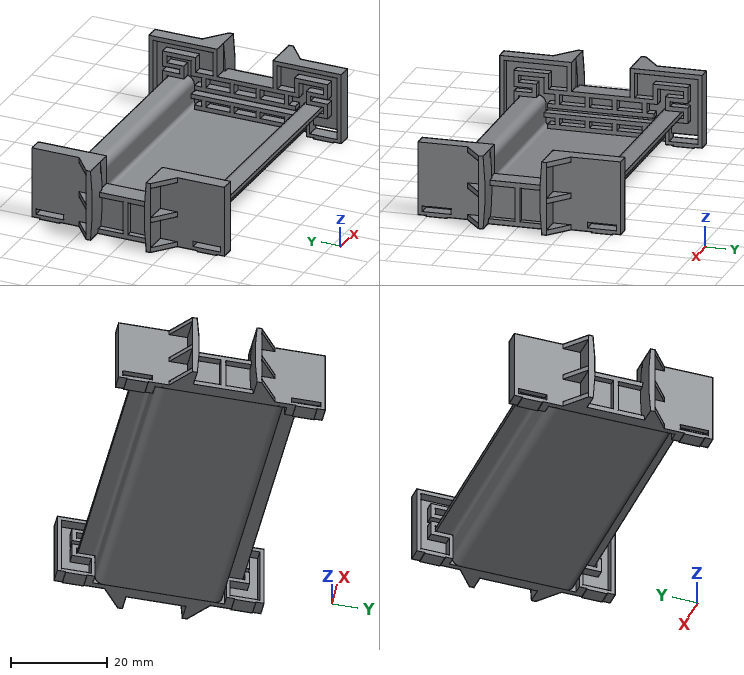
import cadquery as cq
overall_length = 70.7
cap_width = 44.0
cap_height = 16.0
cap_thickness = 3.1
cap_inner_x = 27.35
socket_depth = 2.0
wall = 1.0

cap_outer_x = cap_inner_x + cap_thickness
socket_floor_x = cap_inner_x + socket_depth
cap_half_width = cap_width / 2

rail_height = 7.5
rail_half_width = 17.5
rail_web_y = 13.5
bend_inner_radius = 0.85
bend_outer_radius = bend_inner_radius + wall
rail_length = 2 * socket_floor_x

notch_half_width = 6.35
notch_floor_z = 9.6
box_outer_x = 31.8
box_rib_width = 1.05

wing_tip_x = overall_length / 2
wing_bulge = 0.4
wing_back_y = notch_half_width + wall
wing_rib_root_y = 11.25
flange_thickness = 1.1
wing_middle_rib_z = 6.9

hook_inner_y = 11.3
hook_outer_y = 18.9
hook_top_z = 13.0
clamp_y = 14.0
clamp_top_z = 10.45
clamp_slit_z = 8.5
flange_shelf_z = 6.1

ladder_half_width = 11.5
ladder_column_y = (3.0, 9.5)
ladder_upper_z = 5.5
ladder_lower_z = 4.4

pad_start_y = 15.7
pad_end_y = 20.2
pad_height = 0.2
slot_start_y = 14.8
slot_end_y = 21.1
slot_floor_z = 0.8
slot_height = 1.2


def block(x_range, y_range, z_range):
    """Box between two limits on each axis."""
    (x0, x1), (y0, y1), (z0, z1) = x_range, y_range, z_range
    return cq.Workplane("XY").box(x1 - x0, y1 - y0, z1 - z0, centered=False).translate((x0, y0, z0))


def both_sides(shape):
    """The shape together with its mirror image across the XZ plane."""
    return shape.union(shape.mirror("XZ"))


def rib(y_range, z_range):
    """Rib on the socket floor, flush with the inner face of the cap."""
    return block((cap_inner_x, socket_floor_x), y_range, z_range)


def make_plate():
    """Cap plate with its notch, foot pads and recessed inner side."""
    plate_x = (cap_inner_x, cap_outer_x)
    plate = block(plate_x, (-cap_half_width, cap_half_width), (0, cap_height))
    plate = plate.cut(block(plate_x, (-notch_half_width, notch_half_width), (notch_floor_z, cap_height)))
    plate = plate.union(both_sides(block(plate_x, (pad_start_y, pad_end_y), (-pad_height, 0))))

    recess_top_z = cap_height - wall
    recess = rib((-wing_back_y, wing_back_y), (0, notch_floor_z - wall))
    recess = recess.union(both_sides(rib((wing_back_y, clamp_y), (0, recess_top_z))))
    recess = recess.union(both_sides(rib((clamp_y, slot_end_y), (slot_floor_z, recess_top_z))))
    plate = plate.cut(recess)

    slot = block((socket_floor_x, cap_outer_x), (slot_start_y, slot_end_y), (slot_floor_z, slot_floor_z + slot_height))
    return plate.cut(both_sides(slot))


def make_box():
    """Frame on the outer side of the cap, below the notch, with a rib in the middle."""
    box_x = (cap_outer_x, box_outer_x)
    frame_y = (-notch_half_width, notch_half_width)
    frame = block(box_x, frame_y, (notch_floor_z - flange_thickness, notch_floor_z))
    frame = frame.union(block(box_x, frame_y, (0, flange_thickness)))
    return frame.union(block(box_x, (-box_rib_width / 2, box_rib_width / 2), (0, notch_floor_z)))


def make_wing():
    """Guide sheet with a bowed face, braced by three triangular ribs."""
    sheet = (
        cq.Workplane("YZ", origin=(cap_outer_x, 0, 0))
        .moveTo(wing_back_y, 0)
        .lineTo(notch_half_width, 0)
        .threePointArc(
            (notch_half_width - wing_bulge, cap_height / 2),
            (notch_half_width, cap_height),
        )
        .lineTo(wing_back_y, cap_height)
        .close()
        .extrude(wing_tip_x - cap_outer_x)
    )
    brace = (
        cq.Workplane("XY")
        .moveTo(cap_outer_x, wing_back_y)
        .lineTo(wing_tip_x, wing_back_y)
        .lineTo(cap_outer_x, wing_rib_root_y)
        .close()
        .extrude(flange_thickness)
    )
    for z in (0, wing_middle_rib_z, cap_height - flange_thickness):
        sheet = sheet.union(brace.translate((0, 0, z)))
    return sheet


def make_hooks():
    """Nested walls that hold one flange and web of the rail."""
    ladder_top_z = notch_floor_z - wall
    flange_shelf_bottom = flange_shelf_z - wall
    hook_tip_y = hook_outer_y - wall

    hooks = rib((hook_inner_y, hook_inner_y + wall), (ladder_top_z, hook_top_z))
    hooks = hooks.union(rib((hook_inner_y, hook_outer_y), (hook_top_z - wall, hook_top_z)))
    hooks = hooks.union(rib((hook_tip_y, hook_outer_y), (flange_shelf_bottom, hook_top_z)))

    hooks = hooks.union(rib((clamp_y, hook_outer_y), (rail_height, clamp_top_z)))
    hooks = hooks.cut(rib((clamp_y + wall, hook_outer_y), (clamp_slit_z, clamp_top_z - wall)))

    hooks = hooks.union(rib((clamp_y, hook_outer_y), (flange_shelf_bottom, flange_shelf_z)))
    return hooks.union(rib((clamp_y, slot_start_y), (0, flange_shelf_z)))


def make_ladders():
    """Two ladders of ribs, with a free gap between them, inside the rail channel."""
    web_gap_y = hook_inner_y + wall
    upper_z = (ladder_upper_z, notch_floor_z)
    lower_z = (wall, ladder_lower_z)
    rungs = (
        (web_gap_y, (notch_floor_z - wall, notch_floor_z)),
        (ladder_half_width, (ladder_upper_z, ladder_upper_z + wall)),
        (web_gap_y, (ladder_lower_z - wall, ladder_lower_z)),
        (ladder_half_width, (wall, 2 * wall)),
    )
    ladders = cq.Workplane("XY")
    for half_width, z_range in rungs:
        ladders = ladders.union(rib((-half_width, half_width), z_range))
    for y in ladder_column_y:
        for z_range in (upper_z, lower_z):
            ladders = ladders.union(both_sides(rib((y - wall / 2, y + wall / 2), z_range)))
    return ladders


def make_end_cap():
    """End cap at the +X end of the rail."""
    cap = make_plate().union(make_box())
    for feature in (make_wing(), make_hooks()):
        cap = cap.union(both_sides(feature))
    return cap.union(make_ladders())


def make_rail():
    """Top-hat rail of bent sheet: floor, two webs and two outward flanges."""
    web_inner_y = rail_web_y - wall
    profile = (
        cq.Workplane("YZ")
        .moveTo(-rail_web_y, 0)
        .lineTo(rail_web_y, 0)
        .lineTo(rail_web_y, rail_height - wall)
        .lineTo(rail_half_width, rail_height - wall)
        .lineTo(rail_half_width, rail_height)
        .lineTo(web_inner_y, rail_height)
        .lineTo(web_inner_y, wall)
        .lineTo(-web_inner_y, wall)
        .lineTo(-web_inner_y, rail_height)
        .lineTo(-rail_half_width, rail_height)
        .lineTo(-rail_half_width, rail_height - wall)
        .lineTo(-rail_web_y, rail_height - wall)
        .close()
        .extrude(rail_length / 2, both=True)
    )

    def bend_edges(corners):
        """Lengthwise edges at the given (y, z) corners and their mirror images."""
        edges = cq.Workplane("XY")
        for y, z in corners:
            for side in (-1, 1):
                edges = edges.add(profile.edges(cq.NearestToPointSelector((0, side * y, z))))
        return edges.vals()

    outer_bends = bend_edges([(rail_web_y, 0), (web_inner_y, rail_height)])
    inner_bends = bend_edges([(web_inner_y, wall), (rail_web_y, rail_height - wall)])
    rail = profile.val().fillet(bend_outer_radius, outer_bends)
    return rail.fillet(bend_inner_radius, inner_bends)


rail = make_rail()
end_caps = []
for turn in (0, 180):
    end_caps.append(make_end_cap().rotate((0, 0, 0), (0, 0, 1), turn).val())

result = cq.Compound.makeCompound([rail, *end_caps])